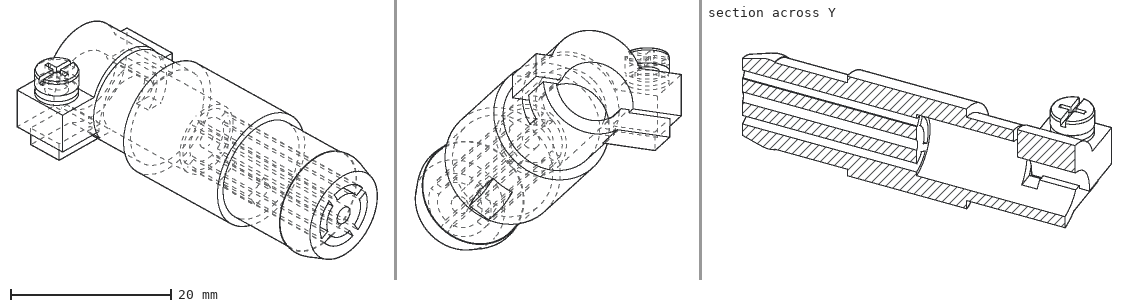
import cadquery as cq
import math


SHELL_START = 1.4
NECK_START = 8.5
COLLAR_START = 15.0
BORE_END = 21.9
COLLAR_END = 31.5
BEAD_START = 41.5
BEAD_CREST = 42.4
BEAD_END = 43.3
TOTAL_LENGTH = 46.0

NECK_RADIUS = 6.5
COLLAR_RADIUS = 7.75
TUBE_RADIUS = 6.75
BEAD_RADIUS = 7.0
BEAD_EDGE_RADIUS = 6.85
NOSE_RADIUS = 6.0
BORE_RADIUS = 4.75

CORE_HOLE_RADIUS = 1.15
HUB_RADIUS = 3.0
SLOT_OUTER_RADIUS = 4.2
SPOKE_WIDTH = 1.0
SPOKE_COUNT = 4
SPOKE_ANGLE = 30.0

KEY_LENGTH = 5.0
KEY_WIDTH = 3.0
KEY_TIP_RADIUS = 10.0
KEY_FILLET = 1.5
KEY_TILT = 30.0

LUG_LENGTH = 5.0
LUG_END = SHELL_START + LUG_LENGTH
LUG_OUTER_Y = -10.5
LUG_TOP_Z = -2.6
LUG_BOTTOM_Z = -5.5
SADDLE_TOP_Z = -3.5

CLAMP_LENGTH = 8.0
CLAMP_LEFT_Y = 8.0
CLAMP_RIGHT_Y = -11.5
CLAMP_TOP_Z = 2.55
CLAMP_LEFT_BOTTOM_Z = -0.5
CLAMP_RIGHT_BOTTOM_Z = -3.0
ARCH_RADIUS = 6.25
ARCH_CENTRE_Z = 0.5
CABLE_RADIUS = 5.0
CABLE_CENTRE_Z = -2.5

SCREW_X = CLAMP_LENGTH / 2
SCREW_Y = -8.5
SHANK_RADIUS = 1.5
WASHER_RADIUS = 2.75
WASHER_THICKNESS = 0.55
HEAD_RADIUS = 2.8
HEAD_BOTTOM_Z = 4.0
HEAD_TOP_Z = 6.1
HEAD_CHAMFER_HEIGHT = 0.35
HEAD_CHAMFER_INSET = 0.15
DRIVE_DEPTH = 0.9
LONG_SLOT_WIDTH = 0.7
CROSS_SLOT_LENGTH = 3.5
CROSS_SLOT_WIDTH = 0.6


def block(x_range, y_range, z_range):
    """Box spanning the given pair of limits along each axis."""
    spans = [sorted(limits) for limits in (x_range, y_range, z_range)]
    size = [high - low for low, high in spans]
    corner = tuple(low for low, high in spans)
    return cq.Workplane("XY").box(*size, centered=False).translate(corner)


def rod(radius, x_start, x_end):
    """Cylinder on the connector axis."""
    return cq.Workplane("YZ", origin=(x_start, 0, 0)).circle(radius).extrude(x_end - x_start)


def housing_body():
    """Solid of revolution: neck, collar, tube, bead and tapered nose."""
    return (
        cq.Workplane("XY")
        .moveTo(SHELL_START, 0)
        .lineTo(SHELL_START, NECK_RADIUS)
        .lineTo(COLLAR_START, NECK_RADIUS)
        .lineTo(COLLAR_START, COLLAR_RADIUS)
        .lineTo(COLLAR_END, COLLAR_RADIUS)
        .lineTo(COLLAR_END, TUBE_RADIUS)
        .lineTo(BEAD_START, TUBE_RADIUS)
        .lineTo(BEAD_START, BEAD_EDGE_RADIUS)
        .threePointArc((BEAD_CREST, BEAD_RADIUS), (BEAD_END, BEAD_EDGE_RADIUS))
        .lineTo(TOTAL_LENGTH, NOSE_RADIUS)
        .lineTo(TOTAL_LENGTH, 0)
        .close()
        .revolve(360, (0, 0, 0), (1, 0, 0))
    )


def cut_saddle(body):
    """Open the upper side of the shell in front of the neck."""
    reach = 2 * NECK_RADIUS
    left_opening = block((SHELL_START, LUG_END), (0, reach), (CLAMP_LEFT_BOTTOM_Z, reach))
    right_opening = block((SHELL_START, LUG_END), (0, -reach), (LUG_TOP_Z, reach))
    gap = block((LUG_END, NECK_START), (-reach, reach), (SADDLE_TOP_Z, reach))
    return body.cut(left_opening).cut(right_opening).cut(gap)


def screw_lug():
    """Lug beside the saddle that takes the clamp screw."""
    return block((SHELL_START, LUG_END), (0, LUG_OUTER_Y), (LUG_BOTTOM_Z, LUG_TOP_Z))


def core_slots():
    """Ring of slots around the hub, interrupted by the spokes."""
    ring = rod(SLOT_OUTER_RADIUS, BORE_END, TOTAL_LENGTH).cut(rod(HUB_RADIUS, BORE_END, TOTAL_LENGTH))
    half_width = SPOKE_WIDTH / 2
    for index in range(SPOKE_COUNT):
        angle = SPOKE_ANGLE + index * 360 / SPOKE_COUNT
        spoke = block((BORE_END, TOTAL_LENGTH), (0, COLLAR_RADIUS), (-half_width, half_width))
        ring = ring.cut(spoke.rotate((0, 0, 0), (1, 0, 0), angle))
    return ring


def polarising_key():
    """Radial key with a rounded leading corner, tilted towards +Y."""
    half_width = KEY_WIDTH / 2
    root_z = -(BORE_RADIUS + COLLAR_RADIUS) / 2
    key = block((BORE_END, BORE_END + KEY_LENGTH), (-half_width, half_width), (-KEY_TIP_RADIUS, root_z))
    key = key.edges("<X and <Z").fillet(KEY_FILLET)
    return key.rotate((0, 0, 0), (1, 0, 0), KEY_TILT)


def clamp_bridge():
    """Arched bridge with a flat ear on +Y and a deep screw ear on -Y."""
    arch_half_width = math.sqrt(ARCH_RADIUS**2 - (CLAMP_TOP_Z - ARCH_CENTRE_Z) ** 2)
    cable_edge_y = math.sqrt(CABLE_RADIUS**2 - (CLAMP_LEFT_BOTTOM_Z - CABLE_CENTRE_Z) ** 2)
    return (
        cq.Workplane("YZ")
        .moveTo(CLAMP_LEFT_Y, CLAMP_LEFT_BOTTOM_Z)
        .lineTo(CLAMP_LEFT_Y, CLAMP_TOP_Z)
        .lineTo(arch_half_width, CLAMP_TOP_Z)
        .threePointArc((0, ARCH_CENTRE_Z + ARCH_RADIUS), (-arch_half_width, CLAMP_TOP_Z))
        .lineTo(CLAMP_RIGHT_Y, CLAMP_TOP_Z)
        .lineTo(CLAMP_RIGHT_Y, CLAMP_RIGHT_BOTTOM_Z)
        .lineTo(-CABLE_RADIUS, CLAMP_RIGHT_BOTTOM_Z)
        .lineTo(-CABLE_RADIUS, CABLE_CENTRE_Z)
        .threePointArc((0, CABLE_CENTRE_Z + CABLE_RADIUS), (cable_edge_y, CLAMP_LEFT_BOTTOM_Z))
        .close()
        .extrude(CLAMP_LENGTH)
    )


def clamp_screw():
    """Cheese-head screw with washer, exposed shank and a slotted cross drive."""
    head_side_top = HEAD_TOP_Z - HEAD_CHAMFER_HEIGHT
    washer_top = CLAMP_TOP_Z + WASHER_THICKNESS
    screw = (
        cq.Workplane("XZ")
        .moveTo(0, CLAMP_RIGHT_BOTTOM_Z)
        .lineTo(SHANK_RADIUS, CLAMP_RIGHT_BOTTOM_Z)
        .lineTo(SHANK_RADIUS, CLAMP_TOP_Z)
        .lineTo(WASHER_RADIUS, CLAMP_TOP_Z)
        .lineTo(WASHER_RADIUS, washer_top)
        .lineTo(SHANK_RADIUS, washer_top)
        .lineTo(SHANK_RADIUS, HEAD_BOTTOM_Z)
        .lineTo(HEAD_RADIUS, HEAD_BOTTOM_Z)
        .lineTo(HEAD_RADIUS, head_side_top)
        .lineTo(HEAD_RADIUS - HEAD_CHAMFER_INSET, HEAD_TOP_Z)
        .lineTo(0, HEAD_TOP_Z)
        .close()
        .revolve(360, (0, 0, 0), (0, 1, 0))
    )
    drive = cq.Workplane("XY", origin=(0, 0, HEAD_TOP_Z))
    long_slot = drive.rect(LONG_SLOT_WIDTH, 2 * HEAD_RADIUS).extrude(-DRIVE_DEPTH)
    cross_slot = drive.rect(CROSS_SLOT_LENGTH, CROSS_SLOT_WIDTH).extrude(-DRIVE_DEPTH)
    return screw.cut(long_slot).cut(cross_slot).translate((SCREW_X, SCREW_Y, 0))


housing = cut_saddle(housing_body()).union(screw_lug())
housing = housing.cut(rod(BORE_RADIUS, SHELL_START, BORE_END))
housing = housing.cut(rod(CORE_HOLE_RADIUS, BORE_END, TOTAL_LENGTH))
housing = housing.cut(core_slots()).union(polarising_key())

result = housing.union(clamp_bridge()).union(clamp_screw())